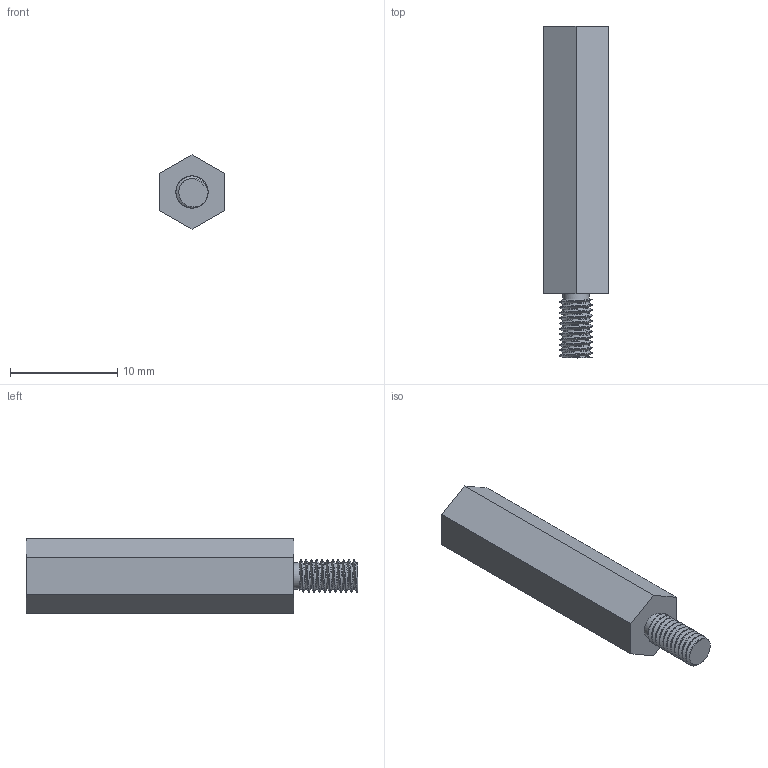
import cadquery as cq
import math

side_count = 6
across_flats = 6.0
across_corners = across_flats / math.cos(math.pi / side_count)
body_length = 25.0
corner_up_angle = 90.0

stud_length = 6.0
plain_neck_length = 0.5
major_diameter = 3.0
pitch = 0.5

flank_half_angle = math.radians(30)
sharp_triangle_height = pitch / (2 * math.tan(flank_half_angle))
thread_depth = 5 / 8 * sharp_triangle_height
crest_width = pitch / 8
major_radius = major_diameter / 2
core_radius = major_radius - thread_depth

first_crest_depth = plain_neck_length + crest_width / 2
root_overlap = 0.03


def hex_body():
    """Hexagonal prism with corners pointing along +Z and -Z."""
    return (
        cq.Workplane("XZ")
        .transformed(rotate=(0, 0, corner_up_angle))
        .polygon(side_count, across_corners)
        .extrude(-body_length)
    )


def stud_core():
    """Smooth cylinder at the thread's root diameter."""
    return cq.Workplane("XZ").circle(core_radius).extrude(stud_length)


def thread_ridge():
    """Right-handed helical ridge, cut square at the neck and at the stud's tip."""
    ridge_height = thread_depth + root_overlap
    half_crest = crest_width / 2
    half_root = half_crest + ridge_height * math.tan(flank_half_angle)
    inner_radius = core_radius - root_overlap

    helix_start = first_crest_depth - pitch
    helix_length = stud_length + pitch - helix_start
    helix = cq.Wire.makeHelix(pitch, helix_length, core_radius)

    ridge = (
        cq.Workplane("XZ")
        .moveTo(inner_radius, -half_root)
        .lineTo(major_radius, -half_crest)
        .lineTo(major_radius, half_crest)
        .lineTo(inner_radius, half_root)
        .close()
        .sweep(cq.Workplane(helix), isFrenet=True)
        .translate((0, 0, helix_start))
        .rotate((0, 0, 0), (1, 0, 0), 90)
    )
    threaded_zone = (
        cq.Workplane("XZ", origin=(0, -plain_neck_length, 0))
        .circle(major_diameter)
        .extrude(stud_length - plain_neck_length)
    )
    return ridge.intersect(threaded_zone)


result = hex_body().union(stud_core()).union(thread_ridge())